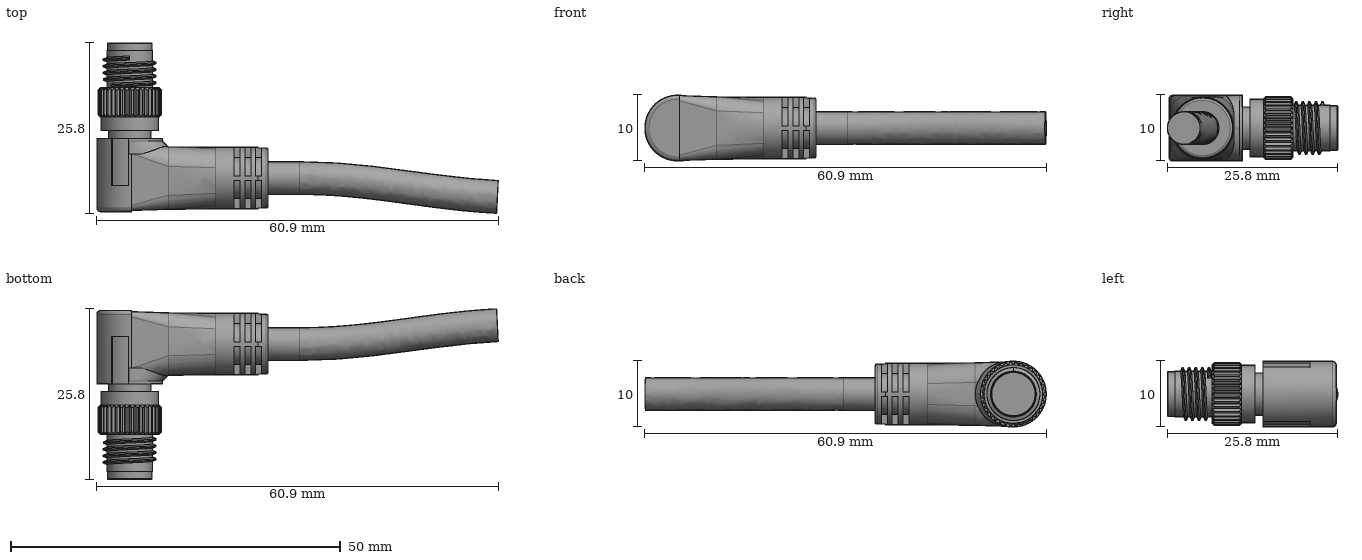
import cadquery as cq
import math


neck_radius = 3.2
collar_radius = 4.4
nut_radius = 4.8
nut_groove_depth = 0.35
nut_ridge_overshoot = 0.2
nut_groove_count = 36
nut_chamfer = 0.35
sleeve_radius = 3.5
tip_radius = 3.4
tip_chamfer = 0.1
thread_radius = 4.0
thread_start_angle = 45
thread_turns = 4 + thread_start_angle / 360
thread_root_width = 0.75
thread_crest_width = 0.2
thread_embed = 0.1

shell_bottom_y = -5.1
shell_top_y = 6.0
collar_start_y = 7.2
nut_start_y = 9.25
nut_end_y = 13.7
thread_start_y = 14.1
thread_end_y = 18.2
tip_start_y = 19.35
tip_end_y = 20.5

shell_radius = 5.0
shell_overlap = 0.25
shell_fillet = 0.6
hood_top_y = 4.9
neck_fairing_start_y = 5.6
neck_fairing_end_y = 3.65
neck_fairing_reach = 6.8
label_left_x = -2.8
label_right_x = -0.2
label_end_y = -1.15
label_depth = 0.3

hood_half_size = 4.95
hood_front_flat = 4.15
hood_back_flat = 3.7
waist_x = 5.85
waist_half_size = 4.75
waist_front_flat = 2.6
waist_back_flat = 1.75
round_start_x = 13.05
round_front_flat = 2.3
round_back_flat = 1.6
grip_radius = 4.7
grip_step_x = 19.4
grip_end_radius = 4.55
grip_end_x = 21.0
grip_end_fillet = 0.35
slot_floor_radius = 3.1
slot_clearance = 0.6
slot_rib_width = 0.7
slot_spans = [(15.85, 16.75), (17.5, 18.4), (19.05, 20.0)]

cable_radius = 2.5
cable_embed = 0.6
cable_bend_x = 25.75
cable_end_x = 55.8
cable_drop = 2.85
cable_end_slope = 0.05


def plug_cylinder(radius, start_y, end_y):
    """Cylinder on the plug axis between two stations."""
    return cq.Workplane("XZ", origin=(0, start_y, 0)).circle(radius).extrude(start_y - end_y)


def grip_cylinder(radius, start_x, end_x):
    """Cylinder on the cable axis between two stations."""
    return cq.Workplane("YZ", origin=(start_x, 0, 0)).circle(radius).extrude(end_x - start_x)


def make_nut():
    """Coupling nut with V grooves all round and chamfered ends."""
    blank = plug_cylinder(nut_radius, nut_start_y, nut_end_y).edges().chamfer(nut_chamfer)
    step = math.pi / nut_groove_count
    outline = []
    for index in range(2 * nut_groove_count):
        radius = nut_radius + nut_ridge_overshoot if index % 2 else nut_radius - nut_groove_depth
        outline.append((radius * math.cos(index * step), radius * math.sin(index * step)))
    star = (
        cq.Workplane("XZ", origin=(0, nut_start_y, 0))
        .polyline(outline)
        .close()
        .extrude(nut_start_y - nut_end_y)
    )
    return blank.intersect(star)


def make_thread():
    """Right-handed helical ridge on the sleeve, starting between the -X and +Z sides."""
    foot = sleeve_radius - thread_embed
    length = thread_end_y - thread_start_y
    helix = cq.Wire.makeHelix(length / thread_turns, length, foot)
    ridge = (
        cq.Workplane("XZ")
        .polyline([
            (foot, -thread_root_width / 2),
            (thread_radius, -thread_crest_width / 2),
            (thread_radius, thread_crest_width / 2),
            (foot, thread_root_width / 2),
        ])
        .close()
        .sweep(cq.Workplane(helix), isFrenet=True)
    )
    on_plug_axis = ridge.rotate((0, 0, 0), (1, 0, 0), -90)
    on_plug_axis = on_plug_axis.rotate((0, 0, 0), (0, 1, 0), -90 - thread_start_angle)
    return on_plug_axis.translate((0, thread_start_y, 0))


def make_plug():
    """Neck, collar, nut, threaded sleeve and tip, all on the plug axis."""
    tip = plug_cylinder(tip_radius, tip_start_y, tip_end_y).faces(">Y").chamfer(tip_chamfer)
    return (
        plug_cylinder(neck_radius, 0, collar_start_y)
        .union(plug_cylinder(collar_radius, collar_start_y, nut_start_y))
        .union(make_nut())
        .union(plug_cylinder(sleeve_radius, nut_end_y, tip_start_y))
        .union(tip)
        .union(make_thread())
    )


def make_label_recess():
    """Shallow recess of constant depth with radial side walls, on the +Z side of the shell."""
    reach = 2 * shell_radius
    left_angle = math.asin(label_left_x / shell_radius)
    right_angle = math.asin(label_right_x / shell_radius)
    wedge = (
        cq.Workplane("XZ", origin=(0, label_end_y, 0))
        .polyline([
            (0, 0),
            (reach * math.sin(left_angle), reach * math.cos(left_angle)),
            (reach * math.sin(right_angle), reach * math.cos(right_angle)),
        ])
        .close()
        .extrude(label_end_y - shell_top_y)
    )
    return wedge.cut(plug_cylinder(shell_radius - label_depth, label_end_y, shell_top_y))


def make_shell():
    """Half-round shell around the plug axis with a full-round mouth and recessed label panels."""
    round_part = plug_cylinder(shell_radius, shell_bottom_y, shell_top_y)
    round_part = round_part.faces("<Y").edges().fillet(shell_fillet)
    right_side = cq.Workplane("XY").box(
        2 * shell_radius, hood_top_y - shell_bottom_y, 2 * shell_radius, centered=(False, False, True)
    ).translate((shell_overlap, shell_bottom_y, 0))
    shell = round_part.cut(right_side)
    label = make_label_recess()
    return shell.cut(label).cut(label.mirror("XY"))


def make_neck_fairing():
    """Flare that joins the round mouth of the shell to the grip."""
    flare = (
        cq.Workplane("XZ", origin=(0, neck_fairing_start_y, 0))
        .circle(shell_radius)
        .workplane(offset=neck_fairing_start_y - neck_fairing_end_y)
        .ellipse(neck_fairing_reach, shell_radius)
        .loft()
    )
    left_half = cq.Workplane("XY").box(
        2 * neck_fairing_reach, 4 * shell_radius, 4 * shell_radius, centered=(True, True, True)
    ).translate((-neck_fairing_reach, 0, 0))
    return flare.cut(left_half)


def four_sided_wire(station_x, corners, side_radius=None):
    """Wire of four sides joined by corner arcs; given side_radius, the sides are arcs about the axis."""
    edges = []
    for index, (start, middle, end) in enumerate(corners):
        arc_points = [cq.Vector(station_x, y, z) for y, z in (start, middle, end)]
        edges.append(cq.Edge.makeThreePointArc(*arc_points))
        next_start = corners[(index + 1) % len(corners)][0]
        side_start = cq.Vector(station_x, *end)
        side_end = cq.Vector(station_x, *next_start)
        if side_radius:
            axis_point = cq.Vector(station_x, 0, 0)
            outward = ((side_start + side_end) * 0.5 - axis_point).normalized()
            crown = axis_point + outward * side_radius
            edges.append(cq.Edge.makeThreePointArc(side_start, crown, side_end))
        else:
            edges.append(cq.Edge.makeLine(side_start, side_end))
    return cq.Wire.assembleEdges(edges)


def all_corners(corner_arc, front_flat, back_flat):
    """Corner arcs in order around the cable axis; +Y corners use back_flat, -Y corners front_flat."""
    corners = []
    for side_y, side_z in ((1, 1), (-1, 1), (-1, -1), (1, -1)):
        flat = back_flat if side_y > 0 else front_flat
        arc = [(side_y * y, side_z * z) for y, z in corner_arc(flat)]
        corners.append(arc if side_y == side_z else arc[::-1])
    return corners


def square_section(station_x, half_size, front_flat, back_flat):
    """Square with rounded corners whose arcs start at the given half-lengths of the flats."""
    def corner_arc(flat):
        diagonal = flat + (half_size - flat) * math.sqrt(0.5)
        return [(half_size, flat), (diagonal, diagonal), (flat, half_size)]

    return four_sided_wire(station_x, all_corners(corner_arc, front_flat, back_flat))


def round_section(station_x, radius, front_flat, back_flat):
    """Circle split into arcs that match the edges of a square section."""
    def corner_arc(flat):
        far = math.sqrt(radius**2 - flat**2)
        diagonal = radius * math.sqrt(0.5)
        return [(far, flat), (diagonal, diagonal), (flat, far)]

    return four_sided_wire(station_x, all_corners(corner_arc, front_flat, back_flat), radius)


def make_grip():
    """Hood and strain relief, with rings of slots separated by four ribs."""
    hood = square_section(shell_overlap, hood_half_size, hood_front_flat, hood_back_flat)
    waist = square_section(waist_x, waist_half_size, waist_front_flat, waist_back_flat)
    round_start = round_section(round_start_x, grip_radius, round_front_flat, round_back_flat)
    end = grip_cylinder(grip_end_radius, grip_step_x, grip_end_x)
    end = end.faces(">X").edges().fillet(grip_end_fillet)
    grip = (
        cq.Workplane(cq.Solid.makeLoft([hood, waist], True))
        .union(cq.Workplane(cq.Solid.makeLoft([waist, round_start], True)))
        .union(grip_cylinder(grip_radius, round_start_x, grip_step_x))
        .union(end)
    )
    slot_cut_radius = grip_radius + slot_clearance
    ribs = cq.Workplane("YZ").rect(2 * slot_cut_radius, slot_rib_width).extrude(grip_end_x)
    ribs = ribs.union(ribs.rotate((0, 0, 0), (1, 0, 0), 90))
    for start_x, end_x in slot_spans:
        ring = grip_cylinder(slot_cut_radius, start_x, end_x)
        ring = ring.cut(grip_cylinder(slot_floor_radius, start_x, end_x))
        grip = grip.cut(ring.cut(ribs))
    return grip


def make_cable():
    """Straight cable stub that continues into a gentle S bend towards -Y."""
    stub = grip_cylinder(cable_radius, grip_end_x - cable_embed, cable_bend_x)
    path = cq.Workplane("XY").spline(
        [(cable_bend_x, 0), (cable_end_x, -cable_drop)],
        tangents=[(1, 0), (1, -cable_end_slope)],
    )
    bend = cq.Workplane("YZ", origin=(cable_bend_x, 0, 0)).circle(cable_radius).sweep(path)
    return stub.union(bend)


result = (
    make_shell()
    .union(make_grip())
    .union(make_neck_fairing())
    .union(make_plug())
    .union(make_cable())
)